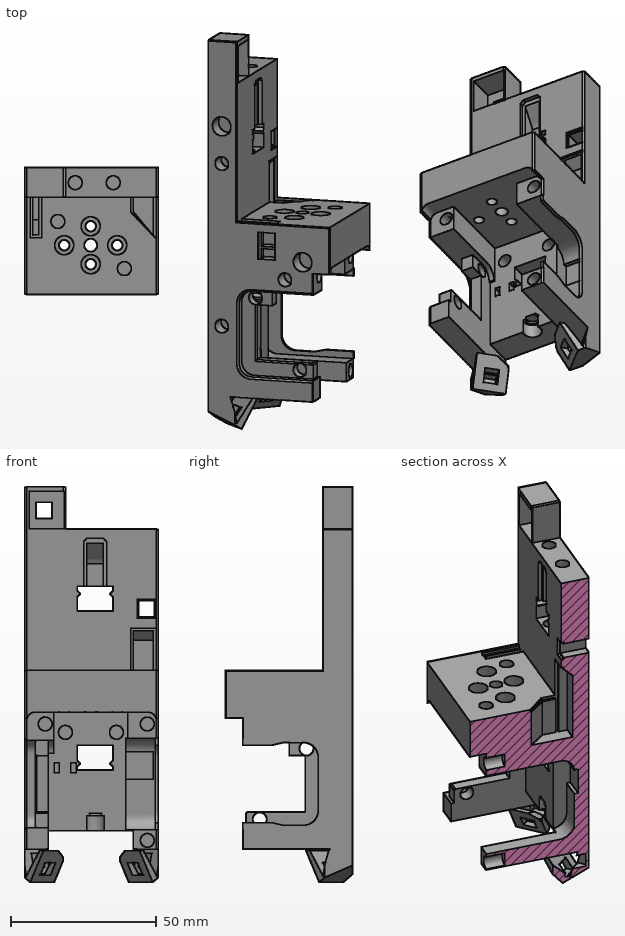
import cadquery as cq
WIDTH, DEPTH, HEIGHT = 46.0, 43.8, 136.0
MID_X = WIDTH / 2

PLATE_DEPTH = 10.3
PLATE_TOP = 121.4
PLATE_BOTTOM = 17.7
TOWER_WIDTH = 14.1
TOWER_WALL = 1.6
TOWER_SIDE_WALL = 0.5
TOWER_BACK_WALL = 1.0
BEVEL_SIDE = 0.8
BEVEL_FACE = 0.3

SHELF_TOP = 72.9
SHELF_BOTTOM = 58.5
SKIRT_BOTTOM = 56.4
SKIRT_WALL = 0.8
SKIRT_RADIUS = 2.7

CHEEK_DEPTH = 37.8
ARM_BOTTOM = 11.4
ARM_TOP = 18.1
WINDOW_TOP = 49.5
WINDOW_RADIUS = 5.2
WINDOW_CHAMFER = 0.7
ARM_WIDTH = 8.2
RIGHT_ARM_WIDTH = 8.7
LEFT_BLOCK_WIDTH = 10.0
RIGHT_BLOCK_WIDTH = 10.6

RIB_X = 3.7
RIB_DEPTH = 16.3
RIB_ARM_DEPTH = 36.7
RIB_ARM_TOP = 24.2
RIB_LUG_DEPTH = 21.9
RIB_LUG_BOTTOM = 43.5
RIB_CHAMFER = 0.5

LIP_THICKNESS = 1.1
LIP_BACK = 1.5
LIP_NARROW = 1.5
LIP_WIDE = 2.5
LIP_STEP_START, LIP_STEP_END = 23.8, 27.9

RECESS_LEFT, RECESS_RIGHT = 34.8, 44.9
RECESS_FLOOR = 5.5

FOOT_INNER_END, FOOT_OUTER_END = -4.9, 6.8
FLAP_WINDOW_INNER_END, FLAP_WINDOW_OUTER_END = -1.6, 3.4

PIN_DIAMETER = 4.8
LARGE_PIN_DIAMETER = 6.7
PIN_HOLE_LENGTH = 6.8
CENTER_DIAMETER = 4.4
SCREW_DIAMETER = 3.5
SCREW_HEAD_DIAMETER = 6.5
SCREW_HEAD_LENGTH = 5.5
EDGE_POCKET_DIAMETER = 6.5

OPENING_MID_X = 24.2
UPPER_OPENING_BOTTOM, UPPER_TOOTH_Z = 93.3, 99.1
LOWER_OPENING_BOTTOM, LOWER_TOOTH_Z = 38.6, 40.8

CHANNEL_LEFT, CHANNEL_RIGHT = 36.5, 45.1
CHANNEL_FLOOR = 6.1
CHANNEL_TOP = 87.3
CHANNEL_LEDGE = 1.0
CHANNEL_RAMP = 4.1


def block(x0, x1, depth0, depth1, z0, z1):
    size = (x1 - x0, depth1 - depth0, z1 - z0)
    return cq.Workplane("XY").box(*size, centered=False).translate((x0, -depth1, z0))


def side_profile(points, x0, x1):
    """Extrude a closed (depth, z) outline from x0 to x1."""
    outline = [(-depth, z) for depth, z in points]
    return cq.Workplane("YZ").polyline(outline).close().extrude(x1 - x0).translate((x0, 0, 0))


def front_profile(points, depth0, depth1):
    """Extrude a closed (x, z) outline from depth0 to depth1."""
    prism = cq.Workplane("XZ").polyline(points).close().extrude(depth1 - depth0)
    return prism.translate((0, -depth0, 0))


def hole(diameter, length, start, direction):
    """A cylinder that starts at (x, depth, z)."""
    x, depth, z = start
    solid = cq.Solid.makeCylinder(diameter / 2, length, cq.Vector(x, -depth, z), cq.Vector(*direction))
    return cq.Workplane(obj=solid)


def mirrored(shape):
    return shape.mirror("YZ", (MID_X, 0, 0))


def bevelled_body(x0, x1, depth, z0, z1):
    """Block with shallow bevels along its front and top edges on both sides."""
    plan = [
        (x0, 0),
        (x1, 0),
        (x1, BEVEL_FACE - depth),
        (x1 - BEVEL_SIDE, -depth),
        (x0 + BEVEL_SIDE, -depth),
        (x0, BEVEL_FACE - depth),
    ]
    face = [
        (x0, z0),
        (x1, z0),
        (x1, z1 - BEVEL_FACE),
        (x1 - BEVEL_SIDE, z1),
        (x0 + BEVEL_SIDE, z1),
        (x0, z1 - BEVEL_FACE),
    ]
    body = cq.Workplane("XY").polyline(plan).close().extrude(HEIGHT)
    return body.intersect(front_profile(face, 0, depth))


def back_plate():
    plate = bevelled_body(0, WIDTH, PLATE_DEPTH, ARM_BOTTOM, PLATE_TOP)
    tower = bevelled_body(0, TOWER_WIDTH, PLATE_DEPTH, PLATE_TOP - TOWER_WALL, HEIGHT)
    gap = block(ARM_WIDTH, WIDTH - RIGHT_ARM_WIDTH, 0, PLATE_DEPTH, ARM_BOTTOM, PLATE_BOTTOM)
    return plate.union(tower).cut(gap)


def shelf():
    body = bevelled_body(0, WIDTH, DEPTH, SKIRT_BOTTOM, SHELF_TOP)
    hollow = block(SKIRT_WALL, WIDTH - SKIRT_WALL, PLATE_DEPTH, DEPTH, 0, SHELF_BOTTOM)
    return body.cut(hollow.edges("|Y and >Z").fillet(SKIRT_RADIUS))


def cheek(arm_width, block_width):
    """Left-hand cheek; the window corners next to the plate are rounded."""
    body = bevelled_body(0, WIDTH, CHEEK_DEPTH, ARM_BOTTOM, SHELF_BOTTOM)
    body = body.intersect(block(0, block_width, 0, CHEEK_DEPTH, 0, HEIGHT))
    inset = WINDOW_CHAMFER
    window = block(0, block_width, PLATE_DEPTH + inset, CHEEK_DEPTH, ARM_TOP + inset, WINDOW_TOP - inset)
    body = body.cut(window.edges("|X and >Y").fillet(WINDOW_RADIUS - inset))
    rim = cq.selectors.BoxSelector((-0.1, -CHEEK_DEPTH, ARM_TOP), (0.1, -PLATE_DEPTH, WINDOW_TOP))
    body = body.edges(rim).chamfer(inset)
    corner_z = WINDOW_TOP - WINDOW_RADIUS
    return body.cut(block(arm_width, block_width, 0, CHEEK_DEPTH, ARM_BOTTOM, corner_z))


def left_rib():
    outline = [
        (PLATE_DEPTH, ARM_TOP),
        (RIB_ARM_DEPTH, ARM_TOP),
        (RIB_ARM_DEPTH, RIB_ARM_TOP),
        (RIB_DEPTH, RIB_ARM_TOP),
        (RIB_DEPTH, RIB_LUG_BOTTOM),
        (RIB_LUG_DEPTH, RIB_LUG_BOTTOM),
        (RIB_LUG_DEPTH, WINDOW_TOP),
        (PLATE_DEPTH, WINDOW_TOP),
    ]
    rib = side_profile(outline, RIB_X, ARM_WIDTH)
    rib = rib.edges("|X and <Y").chamfer(RIB_CHAMFER)
    low_corner = (RIB_X - 0.1, -RIB_ARM_DEPTH + 1.4, RIB_ARM_TOP - 0.1)
    high_corner = (RIB_X + 0.1, -RIB_DEPTH + 0.1, RIB_LUG_BOTTOM - 0.1)
    rim = cq.selectors.BoxSelector(low_corner, high_corner)
    return rib.edges(rim).chamfer(RIB_CHAMFER)


def right_lip():
    """Thin wall around the right window; its edge steps up toward the front."""
    x0, x1 = WIDTH - LIP_THICKNESS, WIDTH
    low, high = ARM_TOP + LIP_NARROW, WINDOW_TOP - LIP_NARROW
    lip = block(x0, x1, PLATE_DEPTH, CHEEK_DEPTH, ARM_TOP, WINDOW_TOP)
    window = block(x0, x1, PLATE_DEPTH + LIP_BACK, CHEEK_DEPTH, low, high)
    lip = lip.cut(window.edges("|X and >Y").fillet(WINDOW_RADIUS))
    for base, direction in [(ARM_TOP, 1), (WINDOW_TOP, -1)]:
        narrow, wide = base + direction * LIP_NARROW, base + direction * LIP_WIDE
        step = [
            (LIP_STEP_START, base),
            (LIP_STEP_START, narrow),
            (LIP_STEP_END, wide),
            (CHEEK_DEPTH, wide),
            (CHEEK_DEPTH, base),
        ]
        lip = lip.union(side_profile(step, x0, x1))
    return lip


def diagonal_profile(points, start, end):
    """Extrude a closed outline of (distance from the left back corner, z) along the foot's diagonal."""
    plane = cq.Plane(origin=(0, 0, 0), xDir=(1, -1, 0), normal=(-1, -1, 0))
    return cq.Workplane(plane).workplane(offset=start).polyline(points).close().extrude(end - start)


def left_foot():
    """V-shaped clip: a sloping base with a flap that leans away from the plate."""
    flap_top = 10.9
    outline = [
        (0, 5.8),
        (9.5, 0),
        (15.9, flap_top),
        (14.0, flap_top),
        (7.6, 2.2),
        (5.7, ARM_BOTTOM),
        (0, ARM_BOTTOM),
    ]
    foot = diagonal_profile(outline, FOOT_INNER_END, FOOT_OUTER_END)
    foot = foot.intersect(block(0, WIDTH, 0, DEPTH, 0, HEIGHT))

    bottom, top = 2.5, 6.8
    behind, ahead = 8.2, 16.3
    window = diagonal_profile(
        [(behind, bottom), (ahead, bottom), (ahead, top), (behind, top)],
        FLAP_WINDOW_INNER_END,
        FLAP_WINDOW_OUTER_END,
    )

    back, pocket_bottom, pocket_top = 3.5, 5.2, 10.0
    pocket = diagonal_profile(
        [(back, pocket_bottom), (7.2, pocket_bottom), (7.2, pocket_top), (back, pocket_top)], -2.7, 2.7
    )

    corner = front_profile([(13.2, 6.7), (16.3, 6.7), (16.3, 12.2), (10.5, 12.2), (13.2, 8.7)], 0, DEPTH)
    return foot.cut(window).cut(pocket).cut(corner)


def right_recess():
    """Rounded window recess that also cuts into the plate, with a shallow pocket in its floor."""
    recess = block(RECESS_LEFT, RECESS_RIGHT, RECESS_FLOOR, CHEEK_DEPTH, ARM_TOP, WINDOW_TOP)
    recess = recess.edges("|X and >Y").fillet(WINDOW_RADIUS)
    pocket_right, pocket_depth, pocket_bottom, pocket_top = 44.2, 1.4, 35.4, 44.9
    back = RECESS_FLOOR - pocket_depth
    return recess.union(block(RECESS_LEFT, pocket_right, back, PLATE_DEPTH, pocket_bottom, pocket_top))


def tower_pocket():
    """Pocket in the tower with a square port through its thin back wall."""
    right, top = TOWER_WIDTH - TOWER_SIDE_WALL, HEIGHT - TOWER_WALL
    pocket = block(TOWER_WALL, right, TOWER_BACK_WALL, PLATE_DEPTH, PLATE_TOP, top)
    port_left, port_bottom, port_size = 4.0, 125.1, 5.5
    port = block(port_left, port_left + port_size, 0, PLATE_DEPTH, port_bottom, port_bottom + port_size)
    return pocket.union(port)


def toothed_opening(bottom, tooth_z):
    """Rectangular opening through the plate with a small tooth on each side."""
    width, height, tooth = 12.2, 8.4, 1.1
    left = OPENING_MID_X - width / 2
    right = left + width
    outline = [
        (left, bottom),
        (right, bottom),
        (right, tooth_z - tooth),
        (right - tooth, tooth_z),
        (right, tooth_z + tooth),
        (right, bottom + height),
        (left, bottom + height),
        (left, tooth_z + tooth),
        (left + tooth, tooth_z),
        (left, tooth_z - tooth),
    ]
    return front_profile(outline, 0, PLATE_DEPTH)


def latch_slot():
    """Stepped slot above the upper opening, with a ramped ceiling."""
    base, top, ramp_end = 101.3, 118.3, 111.0
    wide_half, deep_half, corner = 4.0, 2.9, 1.2
    wide_floor, deep_floor, ramp_foot = 9.0, 4.1, 4.8
    left, right = OPENING_MID_X - wide_half, OPENING_MID_X + wide_half
    wide = block(left, right, wide_floor, PLATE_DEPTH, base, top)
    wide = wide.edges("|Y and >Z").chamfer(corner)
    deep = [
        (deep_floor, base),
        (PLATE_DEPTH, base),
        (PLATE_DEPTH, top),
        (ramp_foot, ramp_end),
        (deep_floor, ramp_end - 1.5),
    ]
    return wide.union(side_profile(deep, OPENING_MID_X - deep_half, OPENING_MID_X + deep_half))


def cable_channel():
    """Groove down the plate that widens into a three-sided well in the shelf, plus a square port above."""
    ledge_depth = PLATE_DEPTH - CHANNEL_LEDGE
    groove = side_profile(
        [
            (CHANNEL_FLOOR, SHELF_BOTTOM),
            (PLATE_DEPTH, SHELF_BOTTOM),
            (PLATE_DEPTH, CHANNEL_TOP),
            (CHANNEL_FLOOR, CHANNEL_TOP - CHANNEL_RAMP),
        ],
        CHANNEL_LEFT + CHANNEL_LEDGE,
        CHANNEL_RIGHT - CHANNEL_LEDGE,
    )
    mouth = block(CHANNEL_LEFT, CHANNEL_RIGHT, ledge_depth, PLATE_DEPTH, SHELF_BOTTOM, CHANNEL_TOP)
    short_side, long_side = 15.4, 24.5

    def well_layer(inset, bottom):
        outline = [
            (CHANNEL_LEFT + inset, -PLATE_DEPTH),
            (CHANNEL_RIGHT - inset, -PLATE_DEPTH),
            (CHANNEL_RIGHT - inset, inset - long_side),
            (CHANNEL_LEFT + inset, -short_side),
        ]
        layer = cq.Workplane("XY").workplane(offset=bottom).polyline(outline).close()
        return layer.extrude(SHELF_TOP - bottom)

    well = well_layer(0, SHELF_TOP - CHANNEL_LEDGE).union(well_layer(CHANNEL_LEDGE, SHELF_BOTTOM))
    port_left, port_bottom, port_size, rim = 39.2, 91.2, 5.5, 0.5
    right, top = port_left + port_size, port_bottom + port_size
    port = block(port_left, right, 0, PLATE_DEPTH, port_bottom, top)
    port_mouth = block(port_left - rim, right + rim, ledge_depth, PLATE_DEPTH, port_bottom - rim, top + rim)
    return groove.union(mouth).union(well).union(port).union(port_mouth)


def side_slot():
    """Slot in the shelf top with a wider mouth, open to the left through a barred window."""
    outer_left, outer_right, ledge = 1.9, 5.8, 1.0
    left, right = outer_left + ledge, outer_right - ledge
    window_back, front = 18.0, 24.2
    floor, back_floor, window_top = 60.4, 65.3, 69.8
    bar_bottom, bar_top = 63.9, 64.7
    slot = block(left, right, window_back, front - ledge, floor, SHELF_TOP)
    slot = slot.union(block(left, right, PLATE_DEPTH, window_back, back_floor, SHELF_TOP))
    mouth = block(outer_left, outer_right, PLATE_DEPTH, front, SHELF_TOP - ledge, SHELF_TOP)
    window = block(0, left, window_back + ledge, front - ledge / 2, floor, window_top)
    window_mouth = block(0, ledge, window_back, front, floor, window_top)
    bar = block(ledge, right, window_back, front, bar_bottom, bar_top)
    return slot.union(mouth).union(window).union(window_mouth).cut(bar)


def pin_holes():
    """Round holes in the left side, the front faces and the upward faces."""
    right, back, down = (1, 0, 0), (0, 1, 0), (0, 0, -1)
    holes = []
    for diameter, depth, z in [
        (LARGE_PIN_DIAMETER, 4.9, 106.0),
        (PIN_DIAMETER, 4.9, 93.0),
        (PIN_DIAMETER, 4.9, 36.0),
        (LARGE_PIN_DIAMETER, 34.1, 60.2),
        (PIN_DIAMETER, 27.7, 53.7),
    ]:
        holes.append(hole(diameter, PIN_HOLE_LENGTH, (0, depth, z), right))
    for x, depth, z in [
        (7.1, CHEEK_DEPTH, 54.4),
        (42.2, CHEEK_DEPTH, 54.4),
        (42.2, CHEEK_DEPTH, 14.4),
        (14.0, PLATE_DEPTH, 51.5),
        (31.5, PLATE_DEPTH, 51.5),
    ]:
        holes.append(hole(PIN_DIAMETER, PIN_HOLE_LENGTH, (x, depth, z), back))
    for x, depth, z in [
        (MID_X, 7.0, UPPER_OPENING_BOTTOM),
        (17.4, 5.3, PLATE_TOP),
        (30.5, 5.3, PLATE_TOP),
        (11.4, 18.6, SHELF_TOP),
        (34.3, 34.8, SHELF_TOP),
    ]:
        holes.append(hole(PIN_DIAMETER, PIN_HOLE_LENGTH, (x, depth, z), down))
    for depth, z in [(15.9, 46.0), (32.0, 21.6)]:
        holes.append(hole(PIN_DIAMETER, ARM_WIDTH - RIB_X, (RIB_X, depth, z), right))
    return holes


def shelf_screws():
    """Through hole ringed by four counterbored screw holes."""
    x, depth, down = 22.7, 26.8, (0, 0, -1)
    length = SHELF_TOP - SHELF_BOTTOM
    holes = [hole(CENTER_DIAMETER, length, (x, depth, SHELF_TOP), down)]
    side_offset, front_offset = 9.1, 6.5
    for dx, d_depth in [(side_offset, 0), (-side_offset, 0), (0, front_offset), (0, -front_offset)]:
        start = (x + dx, depth + d_depth, SHELF_TOP)
        holes.append(hole(SCREW_DIAMETER, length, start, down))
        holes.append(hole(SCREW_HEAD_DIAMETER, SCREW_HEAD_LENGTH, start, down))
    return holes


def plate_details():
    """Two small slots and the stepped round pocket that breaks out of the plate's lower edge."""
    slot_width, slot_depth, slot_bottom, slot_top = 1.8, 2.7, 37.7, 41.0
    slot_back = PLATE_DEPTH - slot_depth
    slots = [block(x, x + slot_width, slot_back, PLATE_DEPTH, slot_bottom, slot_top) for x in (10.2, 15.9)]
    up = (0, 0, 1)
    mouth = (24.3, 9.0, PLATE_BOTTOM)
    pocket_length, step_length = 5.2, 6.1
    pocket = hole(EDGE_POCKET_DIAMETER, pocket_length, mouth, up)
    return slots + [pocket, hole(PIN_DIAMETER, step_length, mouth, up)]


result = back_plate().union(shelf())
result = result.union(cheek(ARM_WIDTH, LEFT_BLOCK_WIDTH)).union(left_rib())
result = result.union(mirrored(cheek(RIGHT_ARM_WIDTH, RIGHT_BLOCK_WIDTH))).union(right_lip())
result = result.union(left_foot()).union(mirrored(left_foot()))

cuts = [right_recess(), tower_pocket(), toothed_opening(UPPER_OPENING_BOTTOM, UPPER_TOOTH_Z)]
cuts += [toothed_opening(LOWER_OPENING_BOTTOM, LOWER_TOOTH_Z)]
cuts += [latch_slot(), cable_channel(), side_slot()]
cuts += pin_holes() + shelf_screws() + plate_details()
for cutter in cuts:
    result = result.cut(cutter)